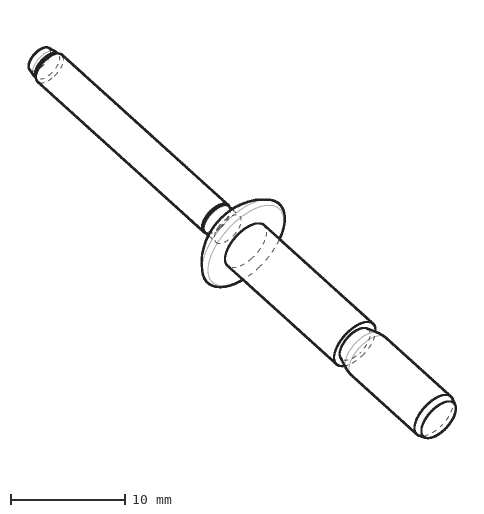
import cadquery as cq
import math

overall_length = 53.98

stem_radius = 1.6
stem_neck_radius = 1.55
stem_start = -26.53
stem_end = -4.05
stem_end_taper = 0.15

tip_radius = 1.28
tip_collar_radius = 1.43
tip_taper_length = 0.72
tip_collar_length = 0.33
stem_lead_in_length = 0.32
tip_collar_end = stem_start - stem_lead_in_length
tip_collar_start = tip_collar_end - tip_collar_length
tip_start = tip_collar_start - tip_taper_length

head_radius = 4.675
rim_radius = 0.32
rim_join_angle = math.radians(30)
rim_join_x = -rim_radius * (1 + math.sin(rim_join_angle))
rim_join_radius = head_radius - rim_radius * (1 - math.cos(rim_join_angle))
dome_start = -2.45

sleeve_radius = 2.4
sleeve_length = 14.75

tail_radius = 2.24
tail_cone_angle = math.radians(18)
tail_cone_length = 1.17
tail_round_length = 0.66
tail_cone_end = sleeve_length + tail_cone_length
tail_cylinder_start = tail_cone_end + tail_round_length
tail_cone_end_radius = tail_radius - tail_round_length * math.tan(tail_cone_angle / 2)
tail_neck_radius = tail_cone_end_radius - tail_cone_length * math.tan(tail_cone_angle)
tail_end = tip_start + overall_length
tail_chamfer_length = 0.64
tail_chamfer_depth = 0.24


def make_rivet():
    """Revolve the half profile (X along the axis, Y as radius) about the X axis."""
    axis_start = (0, 0, 0)
    axis_end = (1, 0, 0)
    profile = (
        cq.Workplane("XY")
        .moveTo(tail_end, 0)
        .lineTo(tail_end, tail_radius - tail_chamfer_depth)
        .lineTo(tail_end - tail_chamfer_length, tail_radius)
        .lineTo(tail_cylinder_start, tail_radius)
        .tangentArcPoint((tail_cone_end, tail_cone_end_radius), relative=False)
        .lineTo(sleeve_length, tail_neck_radius)
        .lineTo(sleeve_length, sleeve_radius)
        .lineTo(0, sleeve_radius)
        .lineTo(0, head_radius - rim_radius)
        .threePointArc((-rim_radius, head_radius), (rim_join_x, rim_join_radius))
        .tangentArcPoint((dome_start, stem_neck_radius), relative=False)
        .lineTo(stem_end + stem_end_taper, stem_neck_radius)
        .lineTo(stem_end, stem_radius)
        .lineTo(stem_start, stem_radius)
        .lineTo(tip_collar_end, tip_collar_radius)
        .lineTo(tip_collar_start, tip_collar_radius)
        .lineTo(tip_start, tip_radius)
        .lineTo(tip_start, 0)
        .close()
    )
    return profile.revolve(360, axis_start, axis_end)


result = make_rivet()